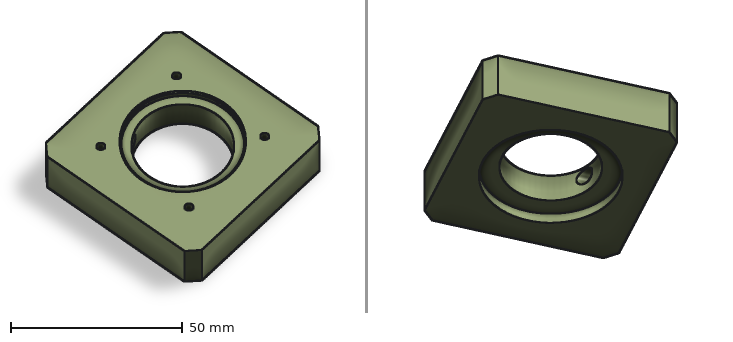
import cadquery as cq
import math

side = 60.0
height = 15.0
corner_cut = 3.6

bore_diameter = side / 2
seat_diameter = 36.0
seat_depth = 2.0
seat_chamfer = 0.5

recess_diameter = 42.0
recess_depth = 3.5

screw_circle_diameter = 48.0
screw_hole_diameter = 2.5
screw_hole_depth = 9.0
drill_point_angle = 118.0

cross_hole_diameter = 5.4
cross_hole_y = -7.2
cross_hole_z = 9.5


def make_block():
    block = cq.Workplane("XY").rect(side, side).extrude(height)
    return block.edges("|Z").chamfer(corner_cut)


def make_bore():
    """Bore with a bottom recess, a top seat and a 45 degree lead-in at the top, revolved about Z."""
    bore_radius = bore_diameter / 2
    seat_radius = seat_diameter / 2
    recess_radius = recess_diameter / 2
    mouth_radius = seat_radius + seat_chamfer
    seat_floor = height - seat_depth
    return (
        cq.Workplane("XZ")
        .moveTo(0, 0)
        .lineTo(recess_radius, 0)
        .lineTo(recess_radius, recess_depth)
        .lineTo(bore_radius, recess_depth)
        .lineTo(bore_radius, seat_floor)
        .lineTo(seat_radius, seat_floor)
        .lineTo(seat_radius, height - seat_chamfer)
        .lineTo(mouth_radius, height)
        .lineTo(0, height)
        .close()
        .revolve(360, (0, 0, 0), (0, 1, 0))
    )


def make_screw_hole():
    """One drilled hole on the Z axis, opening at the top face."""
    radius = screw_hole_diameter / 2
    bottom = height - screw_hole_depth
    point_depth = radius / math.tan(math.radians(drill_point_angle / 2))
    return (
        cq.Workplane("XZ")
        .moveTo(0, height)
        .lineTo(radius, height)
        .lineTo(radius, bottom)
        .lineTo(0, bottom - point_depth)
        .close()
        .revolve(360, (0, 0, 0), (0, 1, 0))
    )


def make_cross_hole():
    """Hole along X that ends in the empty space of the bore."""
    return (
        cq.Workplane("YZ", origin=(-side / 2, 0, 0))
        .center(cross_hole_y, cross_hole_z)
        .circle(cross_hole_diameter / 2)
        .extrude(side / 2)
    )


result = make_block().cut(make_bore()).cut(make_cross_hole())

screw_offset = screw_circle_diameter / 2 * math.sqrt(0.5)
for x_sign in (-1, 1):
    for y_sign in (-1, 1):
        position = (x_sign * screw_offset, y_sign * screw_offset, 0)
        result = result.cut(make_screw_hole().translate(position))